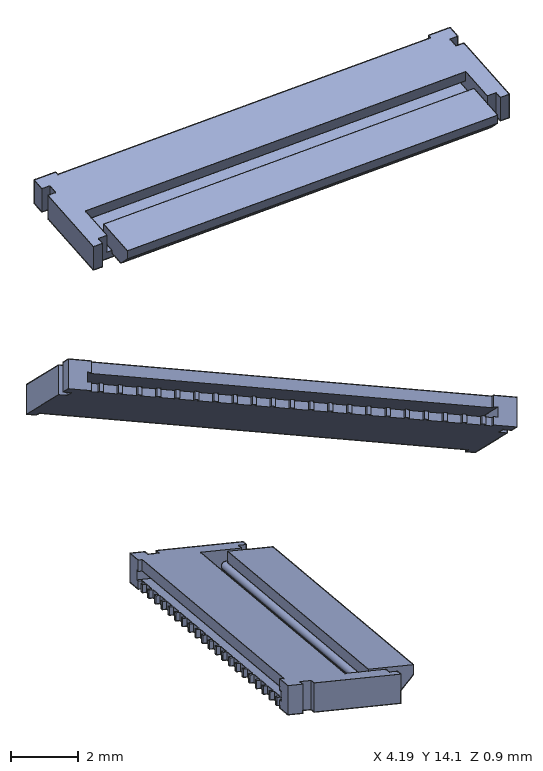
import cadquery as cq

length = 14.1
height = 0.9
depth = 4.19

ear_front = 3.52
housing_front = 3.27
ear_width = 0.31
rear_step_depth = 0.13
rear_step_inset = 0.73
notch_start = 0.47
notch_width = 0.35
notch_depth = 0.27

pocket_rear = 1.99
pocket_inset = 0.6
slot_floor = 0.25
slot_roof = 0.55

contact_count = 21
contact_row_span = 12.01
contact_pitch = contact_row_span / (contact_count - 1)
contact_width = 0.13
contact_height = slot_floor

flap_rear = 2.78
flap_inset = 0.78
flap_bottom = 0.14
flap_bevel_height = 0.59
flap_bevel_start = 3.79

hinge_rear = 2.64
hinge_radius = (slot_roof - slot_floor) / 2
hinge_axis = hinge_rear + hinge_radius


def block(x_start, x_end, y_length, z_start, z_end):
    """Box centred on the middle of the part in Y."""
    return cq.Workplane("XY").box(
        x_end - x_start, y_length, z_end - z_start, centered=(False, True, False)
    ).translate((x_start, 0, z_start))


def extrude_along_length(profile, y_length):
    """Extrude an XZ profile evenly to both sides of the middle."""
    return profile.extrude(y_length).translate((0, y_length / 2, 0))


def make_housing():
    pocket_length = length - 2 * pocket_inset
    body = block(0, ear_front, length, 0, height)
    body = body.cut(block(housing_front, ear_front, length - 2 * ear_width, 0, height))
    body = body.cut(block(0, rear_step_depth, length - 2 * rear_step_inset, 0, height))
    notch_end = notch_start + notch_width
    notches = block(notch_start, notch_end, length, 0, height)
    notch_web = block(notch_start, notch_end, length - 2 * notch_depth, 0, height)
    body = body.cut(notches.cut(notch_web))
    body = body.cut(block(pocket_rear, housing_front, pocket_length, slot_floor, height))
    return body.cut(block(0, pocket_rear, pocket_length, slot_floor, slot_roof))


def make_contacts():
    contact = block(0, rear_step_depth, contact_width, 0, contact_height)
    contacts = cq.Workplane("XY")
    for index in range(contact_count):
        y = index * contact_pitch - contact_row_span / 2
        contacts = contacts.add(contact.translate((0, y, 0)))
    return contacts.combine()


def make_hinge():
    profile = cq.Workplane("XZ").center(hinge_axis, slot_floor + hinge_radius).circle(hinge_radius)
    return extrude_along_length(profile, length - 2 * pocket_inset)


def make_flap():
    profile = (
        cq.Workplane("XZ")
        .moveTo(flap_rear, height)
        .lineTo(depth, height)
        .lineTo(depth, flap_bevel_height)
        .lineTo(flap_bevel_start, flap_bottom)
        .lineTo(flap_rear, flap_bottom)
        .close()
    )
    return extrude_along_length(profile, length - 2 * flap_inset)


result = make_housing().union(make_contacts()).union(make_hinge()).union(make_flap())